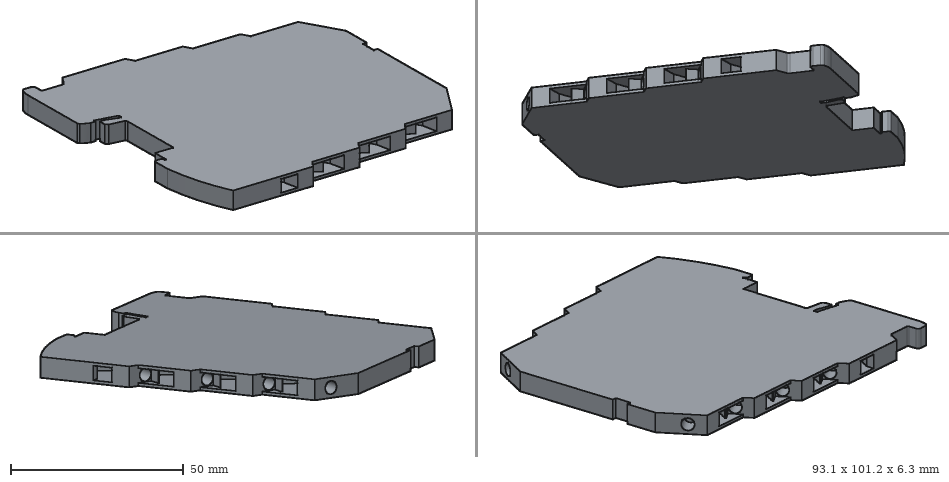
import cadquery as cq
import math

WIDTH = 93.1
HEIGHT = 101.2
THICKNESS = 6.3

LEVELS = 4
LEVEL_PITCH = 18.6
STEP_OUT = 2.8
SLOPE_ANGLE = math.radians(30)
SLOPE_COS = math.cos(SLOPE_ANGLE)
SLOPE_SIN = math.sin(SLOPE_ANGLE)
SHOULDER_RUN = 13.2
STEP_DROP = STEP_OUT * math.tan(SLOPE_ANGLE)
SHOULDER_DROP = SHOULDER_RUN * math.tan(SLOPE_ANGLE)
HALF_WIDTH = WIDTH / 2
TOP_HALF_WIDTH = HALF_WIDTH - (LEVELS - 1) * STEP_OUT - SHOULDER_RUN

NOTCH_LEFT = -14.6
NOTCH_RIGHT = -9.2
NOTCH_DEPTH = 1.4

RAIL_SEAT_Y = 12.6
RAIL_LIP_Y = 6.1
RAIL_RIGHT = 12.0
HOOK_TIP_X = 16.4
HOOK_ROOT_X = 17.5
HOOK_NOSE_Y = 5.1
HOOK_UNDERCUT = 0.4
HOOK_BOTTOM_Y = 2.5
HOOK_RADIUS = 0.7
BELLY_START_X = 23.1
BELLY_MIDDLE = (35.2, 4.9)
BELLY_END_Y = 9.0
FOOT_LEDGE_Y = 5.1
FOOT_NECK_X = -42.6
FOOT_NECK_TOP_Y = 13.1
NECK_TOP_RADIUS = 1.0
NECK_BOTTOM_RADIUS = 0.4
FOOT_TOE_RADIUS = 1.0
FOOT_TOE_BLEND = (-45.8, 0.7)
FOOT_TOE_TOP_Y = 1.8
FOOT_SOLE_END_X = -18.0
FOOT_HEEL_START = (-17.4, 0.4)
FOOT_HEEL_MIDDLE = (-16.6, 1.8)
FOOT_HEEL_TOP_Y = 3.3
FOOT_HEEL_X = -16.0

FINGER_ROOT_X = -11.3
FINGER_ROOT_RUN = 0.7
FINGER_ROOT_DROP = 0.3
FINGER_TIP_RIGHT = -12.0
FINGER_TIP_LEFT = -15.3
FINGER_CHAMFER = 0.8
SLOT_TOP_Y = 13.0
SLOT_TOP_LEFT = -15.4
SLOT_TOP_RIGHT = -14.2
SLOT_BOTTOM_LEFT = -16.9
SLOT_BEND_HIGH_Y = 11.4
SLOT_BEND_LOW_Y = 7.7

CAVITY_HEIGHT = 4.4
FUNNEL_TOP_DROP = 5.6
FUNNEL_BOTTOM_DROP = 11.5
FUNNEL_BEND_DEPTH = 5.4
FUNNEL_BEND_DROP = 6.6
FUNNEL_LENGTH = 10.6
SCREW_DIAMETER = 3.9
SCREW_DEPTH = 6.1
SCREW_FROM_CORNER = 5.7
SCREW_SEAT_LENGTH = 7.8


def level_corner(level):
    """Lower outer corner (half width, Y) of the sloped face above a level's side wall."""
    half_width = HALF_WIDTH - (LEVELS - 1 - level) * STEP_OUT
    return half_width, HEIGHT - SHOULDER_DROP - level * LEVEL_PITCH


def flank_points():
    """Right-hand flank from the top edge down to the lowest corner."""
    points = [(TOP_HALF_WIDTH, HEIGHT), level_corner(0)]
    for level in range(1, LEVELS):
        x, y = level_corner(level)
        points += [(x - STEP_OUT, y + STEP_DROP), (x, y)]
    return points


def housing():
    right_flank = flank_points()
    left_flank = [(-x, y) for x, y in reversed(right_flank)]
    notch = [
        (NOTCH_LEFT, HEIGHT),
        (NOTCH_LEFT, HEIGHT - NOTCH_DEPTH),
        (NOTCH_RIGHT, HEIGHT - NOTCH_DEPTH),
        (NOTCH_RIGHT, HEIGHT),
    ]
    rail_hook = [
        (HOOK_TIP_X, HOOK_BOTTOM_Y),
        (HOOK_TIP_X, HOOK_NOSE_Y),
        (HOOK_ROOT_X, RAIL_LIP_Y - HOOK_UNDERCUT),
        (HOOK_ROOT_X, RAIL_LIP_Y),
        (RAIL_RIGHT, RAIL_LIP_Y),
        (RAIL_RIGHT, RAIL_SEAT_Y),
    ]
    spring_finger = [
        (FINGER_ROOT_X + FINGER_ROOT_RUN, RAIL_SEAT_Y),
        (FINGER_ROOT_X, RAIL_SEAT_Y - FINGER_ROOT_DROP),
        (FINGER_TIP_RIGHT, RAIL_LIP_Y + FINGER_CHAMFER),
        (FINGER_TIP_RIGHT - FINGER_CHAMFER, RAIL_LIP_Y),
        (FINGER_TIP_LEFT, RAIL_LIP_Y),
        (FINGER_TIP_LEFT, SLOT_BEND_LOW_Y),
        (SLOT_TOP_RIGHT, SLOT_BEND_HIGH_Y),
        (SLOT_TOP_RIGHT, SLOT_TOP_Y),
        (SLOT_TOP_LEFT, SLOT_TOP_Y),
        (SLOT_BOTTOM_LEFT, FOOT_LEDGE_Y),
        (FOOT_HEEL_X, FOOT_LEDGE_Y),
    ]
    foot_neck = [
        (-HALF_WIDTH, FOOT_LEDGE_Y),
        (FOOT_NECK_X, FOOT_LEDGE_Y),
        (FOOT_NECK_X, FOOT_NECK_TOP_Y),
        (-HALF_WIDTH, FOOT_NECK_TOP_Y + (HALF_WIDTH + FOOT_NECK_X) * math.tan(SLOPE_ANGLE)),
    ]
    outline = cq.Workplane("XY").polyline(left_flank + notch + right_flank)
    outline = outline.lineTo(HALF_WIDTH, BELLY_END_Y)
    outline = outline.threePointArc(BELLY_MIDDLE, (BELLY_START_X, HOOK_BOTTOM_Y))
    for point in rail_hook + spring_finger:
        outline = outline.lineTo(*point)
    outline = outline.lineTo(FOOT_HEEL_X, FOOT_HEEL_TOP_Y)
    outline = outline.threePointArc(FOOT_HEEL_MIDDLE, FOOT_HEEL_START)
    outline = outline.lineTo(FOOT_SOLE_END_X, 0).lineTo(FOOT_NECK_X, 0)
    outline = outline.tangentArcPoint(FOOT_TOE_BLEND, relative=False)
    outline = outline.tangentArcPoint((-HALF_WIDTH, FOOT_TOE_TOP_Y), relative=False)
    for point in foot_neck:
        outline = outline.lineTo(*point)
    body = outline.close().extrude(THICKNESS)

    rounded_corners = [
        ((HOOK_TIP_X, HOOK_BOTTOM_Y), HOOK_RADIUS),
        ((-HALF_WIDTH, FOOT_LEDGE_Y), FOOT_TOE_RADIUS),
        ((FOOT_NECK_X, FOOT_LEDGE_Y), NECK_BOTTOM_RADIUS),
        ((FOOT_NECK_X, FOOT_NECK_TOP_Y), NECK_TOP_RADIUS),
    ]
    for (x, y), radius in rounded_corners:
        corner = cq.selectors.NearestToPointSelector((x, y, THICKNESS / 2))
        body = body.edges("|Z").edges(corner).fillet(radius)
    return body


def cavity(points):
    """Pocket of the given XY outline, centred in the thickness."""
    floor = (THICKNESS - CAVITY_HEIGHT) / 2
    return cq.Workplane("XY").workplane(offset=floor).polyline(points).close().extrude(CAVITY_HEIGHT)


def wire_funnel(level):
    """Left-hand wire entry that runs inward, then turns down at the slope angle."""
    half_width, corner_y = level_corner(level)
    wall_x = -half_width
    lip_y = corner_y - FUNNEL_BOTTOM_DROP
    upper_bend = (wall_x + FUNNEL_BEND_DEPTH, corner_y - FUNNEL_BEND_DROP)
    lower_bend = (upper_bend[0] - (upper_bend[1] - lip_y) * math.tan(SLOPE_ANGLE), lip_y)
    run = FUNNEL_LENGTH * SLOPE_COS
    drop = FUNNEL_LENGTH * SLOPE_SIN
    return cavity([
        (wall_x, corner_y - FUNNEL_TOP_DROP),
        upper_bend,
        (upper_bend[0] + run, upper_bend[1] - drop),
        (lower_bend[0] + run, lower_bend[1] - drop),
        lower_bend,
        (wall_x, lip_y),
    ])


def along_slope(level, distance):
    """Point on a level's left-hand sloped face, measured inward from its outer corner."""
    half_width, corner_y = level_corner(level)
    return -half_width + distance * SLOPE_COS, corner_y + distance * SLOPE_SIN


def screw_seat(level):
    """Opening that carries a step's slope inward and joins the funnel above it."""
    upper_half_width, upper_corner_y = level_corner(level - 1)
    lip_y = upper_corner_y - FUNNEL_BOTTOM_DROP
    inner = along_slope(level, SCREW_SEAT_LENGTH)
    lip_x = inner[0] - (lip_y - inner[1]) * math.tan(SLOPE_ANGLE)
    step_root = along_slope(level, STEP_OUT / SLOPE_COS)
    return cavity([step_root, inner, (lip_x, lip_y), (-upper_half_width, lip_y)])


def screw_bore(level):
    """Blind bore square to a level's sloped face."""
    x, y = along_slope(level, SCREW_FROM_CORNER)
    start = cq.Vector(x, y, THICKNESS / 2)
    inward = cq.Vector(SLOPE_SIN, -SLOPE_COS, 0)
    return cq.Workplane(cq.Solid.makeCylinder(SCREW_DIAMETER / 2, SCREW_DEPTH, start, inward))


result = housing()
cutters = [wire_funnel(level) for level in range(LEVELS)]
cutters += [screw_seat(level) for level in range(1, LEVELS)]
cutters += [screw_bore(level) for level in range(LEVELS)]
for cutter in cutters:
    result = result.cut(cutter).cut(cutter.mirror("YZ"))